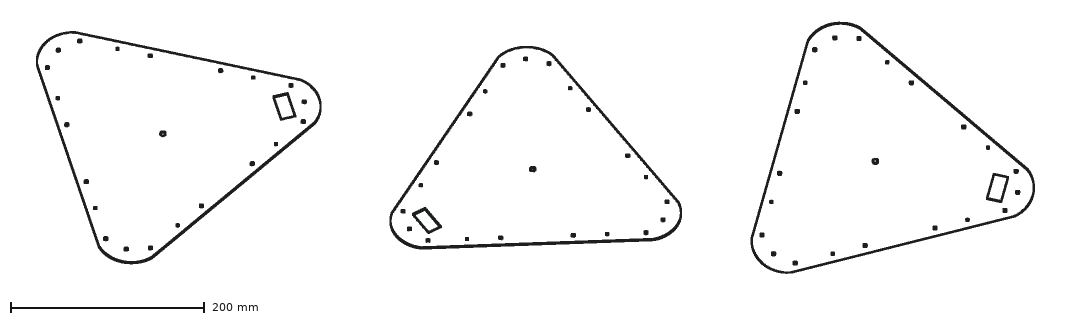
import cadquery as cq
import math

thickness = 2.0
edge_distance = 101.8
corner_radius = 37.5
corner_half_spacing = 112.5
corner_distance = corner_half_spacing / math.cos(math.radians(30))
corner_angles = (90, 210, 330)
edge_turns = (0, 120, 240)

center_hole_diameter = 5.5
mounting_hole_diameter = 3.3
pilot_hole_diameter = 2.5
hole_row_distance = 92.5
inner_hole_offset = 37.5
pilot_hole_offset = 72.5
outer_hole_offset = corner_half_spacing
tip_hole_distance = 151.5

window_width = 30.0
window_height = 15.0


def polar(distance, angle):
    """Point at a distance from the plate centre, in a direction in degrees."""
    return (distance * math.cos(math.radians(angle)), distance * math.sin(math.radians(angle)))


def turned(x, y, angle):
    """Point (x, y) rotated about the plate centre by an angle in degrees."""
    return polar(math.hypot(x, y), math.degrees(math.atan2(y, x)) + angle)


def make_plate():
    arc_center_to_edge = edge_distance - corner_distance / 2
    edge_overrun = math.sqrt(corner_radius**2 - arc_center_to_edge**2)
    edge_half_length = corner_half_spacing + edge_overrun

    outline = cq.Workplane("XY").moveTo(*turned(-edge_half_length, -edge_distance, 0))
    for turn in edge_turns:
        edge_end = turned(edge_half_length, -edge_distance, turn)
        corner_tip = polar(corner_distance + corner_radius, turn - 30)
        next_edge_start = turned(-edge_half_length, -edge_distance, turn + 120)
        outline = outline.lineTo(*edge_end).threePointArc(corner_tip, next_edge_start)
    return outline.close().extrude(thickness)


def edge_hole_points(offset):
    """A pair of points mirrored about the middle of each of the three edges."""
    return [turned(side * offset, -hole_row_distance, turn) for turn in edge_turns for side in (-1, 1)]


def cut_holes(body, points, diameter):
    cutter = cq.Workplane("XY").pushPoints(points).circle(diameter / 2).extrude(thickness)
    return body.cut(cutter)


tip_hole_points = [polar(tip_hole_distance, angle) for angle in corner_angles]
mounting_hole_points = (
    edge_hole_points(inner_hole_offset) + edge_hole_points(outer_hole_offset) + tip_hole_points
)

result = make_plate()
result = cut_holes(result, [(0, 0)], center_hole_diameter)
result = cut_holes(result, mounting_hole_points, mounting_hole_diameter)
result = cut_holes(result, edge_hole_points(pilot_hole_offset), pilot_hole_diameter)

window = (
    cq.Workplane("XY")
    .center(0, corner_distance)
    .rect(window_width, window_height)
    .extrude(thickness)
)
result = result.cut(window)